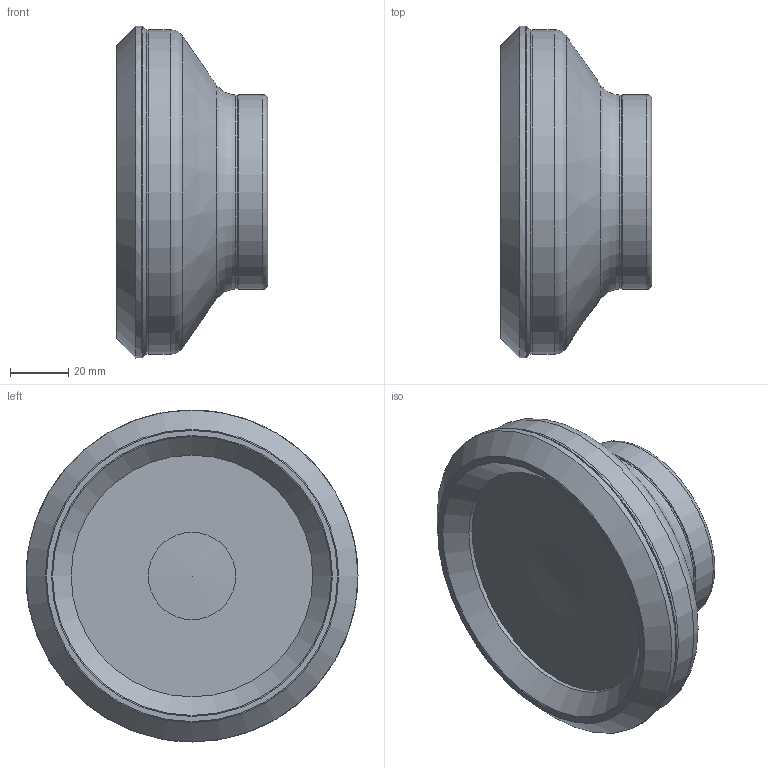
import cadquery as cq
import math

total_length = 52.0

ring_radius = 57.0
ring_rim_outer_radius = 50.2
ring_rim_inner_radius = 48.0
ring_front_slope_end_x = 6.6
ring_back_corner_x = 8.85
ring_edge_fillet = 0.5
dish_radius = 41.5
dish_cone_end_x = 6.5

body_radius = 111.5 / 2
body_front_x = 8.0
body_front_fillet = 3.0
shoulder_start_x = 18.55
shoulder_fillet = 5.0
cone_angle = math.radians(55)
throat_fillet = 8.0
throat_radius = 66.6 / 2
neck_radius = 67.0 / 2
neck_step_x = 41.6
neck_step_height = neck_radius - throat_radius
neck_end_fillet = 1.8
center_cone_radius = 15.0
center_cone_height = 0.5


def turned(profile):
    """Revolve a closed XY half profile (Y = radius) about the X axis."""
    return profile.revolve(360, (0, 0, 0), (1, 0, 0))


def make_ring(housing):
    """Bevelled ring; its back fits around the rounded front edge of the housing."""
    back_x = body_front_x + body_front_fillet
    back_radius = ring_radius - (back_x - ring_back_corner_x)
    profile = (
        cq.Workplane("XY")
        .moveTo(0, ring_rim_inner_radius)
        .lineTo(0, ring_rim_outer_radius)
        .lineTo(ring_front_slope_end_x, ring_radius)
        .lineTo(ring_back_corner_x, ring_radius)
        .lineTo(back_x, back_radius)
        .lineTo(back_x, dish_radius)
        .lineTo(dish_cone_end_x, dish_radius)
        .close()
    )
    blank = turned(profile)
    rim_edges = blank.faces("<X").edges()
    widest_edges = blank.edges(cq.selectors.RadiusNthSelector(-1))
    back_corner = widest_edges.edges(">X")
    rounded = blank.newObject(rim_edges.vals() + back_corner.vals()).fillet(ring_edge_fillet)
    return rounded.cut(housing)


def make_housing():
    """Wide body narrowing along a cone to a neck, with a shallow cone raised on its front face."""
    drop = 1 - math.cos(cone_angle)
    shoulder_end_x = shoulder_start_x + shoulder_fillet * math.sin(cone_angle)
    shoulder_end_radius = body_radius - shoulder_fillet * drop
    cone_end_radius = throat_radius + throat_fillet * drop
    cone_end_x = shoulder_end_x + (shoulder_end_radius - cone_end_radius) / math.tan(cone_angle)
    throat_x = cone_end_x + throat_fillet * math.sin(cone_angle)
    profile = (
        cq.Workplane("XY")
        .moveTo(body_front_x - center_cone_height, 0)
        .lineTo(body_front_x, center_cone_radius)
        .lineTo(body_front_x, body_radius - body_front_fillet)
        .radiusArc((body_front_x + body_front_fillet, body_radius), body_front_fillet)
        .lineTo(shoulder_start_x, body_radius)
        .tangentArcPoint((shoulder_end_x, shoulder_end_radius), relative=False)
        .lineTo(cone_end_x, cone_end_radius)
        .tangentArcPoint((throat_x, throat_radius), relative=False)
        .lineTo(neck_step_x, throat_radius)
        .lineTo(neck_step_x + neck_step_height, neck_radius)
        .lineTo(total_length - neck_end_fillet, neck_radius)
        .tangentArcPoint((total_length, neck_radius - neck_end_fillet), relative=False)
        .lineTo(total_length, 0)
        .close()
    )
    return turned(profile)


housing = make_housing()
ring = make_ring(housing)
result = cq.Compound.makeCompound([ring.val(), housing.val()])